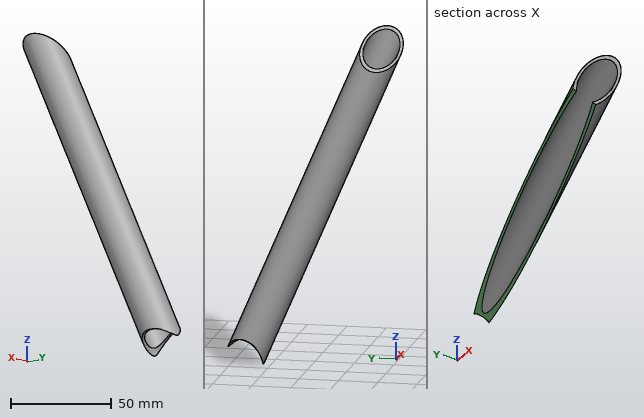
import cadquery as cq

outer_radius = 10.0
wall = 1.5
inner_radius = outer_radius - wall

foot = cq.Vector(0, 0, 0)
head = cq.Vector(17.2, -66.2, 157.3)
axis = (head - foot).normalized()

overrun = 2.5 * outer_radius

crossing_lean = cq.Vector(1, -0.15, 0)
crossing_axis = (crossing_lean - axis * crossing_lean.dot(axis)).normalized()
crossing_clearance = 0.2
crossing_radius = outer_radius + crossing_clearance
crossing_length = 6 * outer_radius

miter_normal = cq.Vector(-20, -8, 21).normalized()
miter_cutter_radius = 4 * outer_radius
miter_cutter_depth = 4 * outer_radius


def round_bar(start, direction, radius, length):
    """Solid cylinder from a start point along a direction."""
    return cq.Workplane(cq.Solid.makeCylinder(radius, length, start, direction))


def make_tube():
    """Straight hollow tube running past both ends."""
    start = foot - axis * overrun
    length = (head - foot).Length + 2 * overrun
    outside = round_bar(start, axis, outer_radius, length)
    bore = round_bar(start, axis, inner_radius, length)
    return outside.cut(bore)


def cope_foot(tube):
    """Saddle cut that fits the foot onto the crossing tube."""
    start = foot - crossing_axis * (crossing_length / 2)
    crossing_tube = round_bar(start, crossing_axis, crossing_radius, crossing_length)
    return tube.cut(crossing_tube).solids(">Z")


def miter_head(tube):
    """Flat slanted cut through the head point."""
    return tube.cut(round_bar(head, miter_normal, miter_cutter_radius, miter_cutter_depth))


result = miter_head(cope_foot(make_tube()))